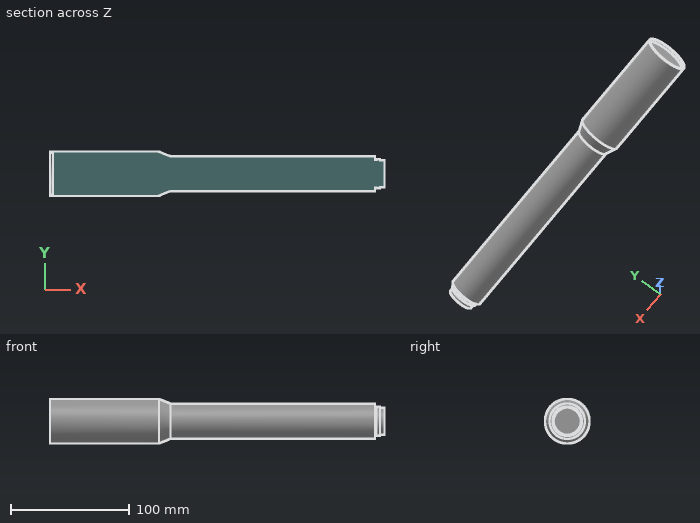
import cadquery as cq

total_length = 283.4

head_diameter = 38.0
head_length = 92.2
recess_diameter = 35.5
recess_depth = 2.5

shoulder_length = 9.8
body_diameter = 30.0

undercut_diameter = 24.0
undercut_length = 1.2
collar_diameter = 25.0
collar_length = 2.7
spigot_diameter = 23.0
spigot_length = 4.0

shoulder_end = head_length + shoulder_length
collar_end = total_length - spigot_length
collar_start = collar_end - collar_length
body_end = collar_start - undercut_length

profile = [
    (recess_depth, 0),
    (recess_depth, recess_diameter / 2),
    (0, recess_diameter / 2),
    (0, head_diameter / 2),
    (head_length, head_diameter / 2),
    (shoulder_end, body_diameter / 2),
    (body_end, body_diameter / 2),
    (body_end, undercut_diameter / 2),
    (collar_start, undercut_diameter / 2),
    (collar_start, collar_diameter / 2),
    (collar_end, collar_diameter / 2),
    (collar_end, spigot_diameter / 2),
    (total_length, spigot_diameter / 2),
    (total_length, 0),
]

axis_start = (0, 0)
axis_end = (1, 0)

result = cq.Workplane("XZ").polyline(profile).close().revolve(360, axis_start, axis_end)